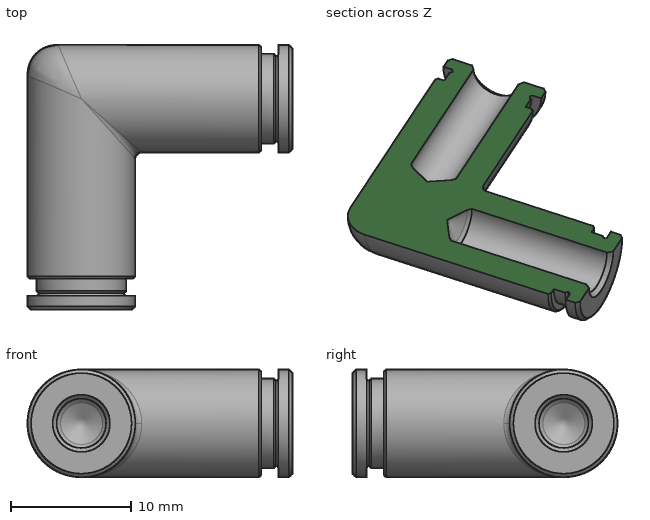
import cadquery as cq
import math

outer_length = 22.1
body_radius = 4.497
axis_to_end = outer_length - body_radius

outer_bend_radius = 2.5
inner_bend_radius = 0.5

collar_thickness = 1.2
collar_chamfer = 0.3
neck_gap = 1.41
neck_radius = 3.75
groove_radius = 0.2
neck_overlap = 1.1
body_chamfer = 0.2

mouth_radius = 2.39
mouth_chamfer_depth = 0.42
bore_radius = 2.05
bore_depth = 12.82
tip_radius = 1.75
tip_half_angle = 60.0

collar_start = axis_to_end - collar_thickness
body_end = collar_start - neck_gap
tip_length = tip_radius / math.tan(math.radians(tip_half_angle))


def along_x(leg):
    """Mirror a leg lying along -Y so that it lies along +X."""
    return leg.mirror("YZ").rotate((0, 0, 0), (0, 0, 1), 90)


def mitered_body_leg():
    """Chamfered cylinder along -Y, cut at the 45 degree plane between the legs."""
    cylinder = cq.Workplane("XZ", origin=(0, body_radius, 0)).circle(body_radius)
    cylinder = cylinder.extrude(body_radius + body_end).faces("<Y").chamfer(body_chamfer)
    miter = (
        cq.Workplane("XY", origin=(0, 0, -body_radius))
        .moveTo(-outer_length, outer_length)
        .lineTo(outer_length, -outer_length)
        .lineTo(-outer_length, -outer_length)
        .close()
        .extrude(2 * body_radius)
    )
    return cylinder.intersect(miter)


def end_collar():
    """Neck with a beveled, round-cornered groove beside a chamfered collar, revolved about Y."""
    groove_start = collar_start - 2 * groove_radius
    groove_bottom = (neck_radius - groove_radius, -(groove_start + groove_radius))
    neck_root = body_end - neck_overlap
    return (
        cq.Workplane("XY")
        .moveTo(0, -neck_root)
        .lineTo(neck_radius, -neck_root)
        .lineTo(neck_radius, -groove_start)
        .lineTo(*groove_bottom)
        .radiusArc((neck_radius, -collar_start), -groove_radius)
        .lineTo(body_radius, -collar_start)
        .lineTo(body_radius, -(axis_to_end - collar_chamfer))
        .lineTo(body_radius - collar_chamfer, -axis_to_end)
        .lineTo(0, -axis_to_end)
        .close()
        .revolve(360, (0, 0, 0), (0, 1, 0))
    )


def socket():
    """Straight blind bore with a chamfered mouth, a 45 degree shoulder and a pointed bottom."""
    shoulder_start = axis_to_end - bore_depth
    shoulder_end = shoulder_start - (bore_radius - tip_radius)
    return (
        cq.Workplane("XY")
        .moveTo(0, -axis_to_end)
        .lineTo(mouth_radius, -axis_to_end)
        .lineTo(bore_radius, -(axis_to_end - mouth_chamfer_depth))
        .lineTo(bore_radius, -shoulder_start)
        .lineTo(tip_radius, -shoulder_end)
        .lineTo(0, -(shoulder_end - tip_length))
        .close()
        .revolve(360, (0, 0, 0), (0, 1, 0))
    )


def elbow_body():
    """Two mitered legs with both sides of the miter rounded.

    The upper half is rounded first and then mirrored, because each miter edge
    runs smoothly into the other one at the top and bottom of the elbow.
    """
    leg = mitered_body_leg()
    upper_space = cq.Workplane("XY").rect(2 * outer_length, 2 * outer_length).extrude(body_radius)
    upper_half = leg.union(along_x(leg)).intersect(upper_space)
    outer_miter = cq.selectors.NearestToPointSelector((-body_radius, body_radius, body_radius))
    upper_half = upper_half.edges(outer_miter).fillet(outer_bend_radius)
    inner_miter = cq.selectors.NearestToPointSelector((body_radius, -body_radius, body_radius))
    upper_half = upper_half.edges(inner_miter).fillet(inner_bend_radius)
    return upper_half.union(upper_half.mirror("XY"))


result = elbow_body()
for feature in (end_collar(), along_x(end_collar())):
    result = result.union(feature)
for feature in (socket(), along_x(socket())):
    result = result.cut(feature)